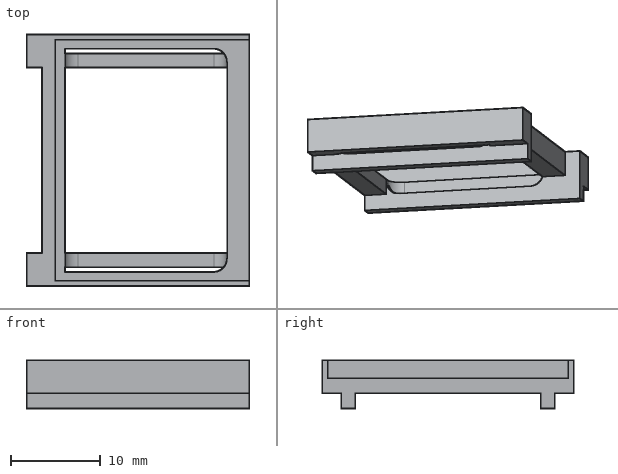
import cadquery as cq
import math

length = 24.8
width = 28.0
height = 5.4

frame_bottom = 1.7
crossbar_bottom = 2.7
floor_top = 3.4

crossbar_start = 1.7
recess_start = 3.2
window_start = 4.3
window_end = 22.3

rail_thickness = 0.6
window_margin = 1.6
runner_outer = 2.1
runner_inner = 3.7

corner_radius = 1.5
runner_blend_radius = 1.5

blend_drop = frame_bottom + runner_blend_radius - crossbar_bottom
blend_overrun = runner_blend_radius - math.sqrt(runner_blend_radius**2 - blend_drop**2)

half_width = width / 2
inner_span = width - 2 * runner_inner


def block(x_start, x_end, y_start, y_end, z_start, z_end):
    """Axis-aligned block between two opposite corners."""
    return cq.Workplane("XY").box(
        x_end - x_start, y_end - y_start, z_end - z_start, centered=False
    ).translate((x_start, y_start, z_start))


def centred_block(x_start, x_end, span, z_start, z_end):
    """Block symmetric about the lengthwise centre plane."""
    return block(x_start, x_end, -span / 2, span / 2, z_start, z_end)


def make_frame():
    """Open frame with side rails, a recessed floor and a raised crossbar."""
    frame = centred_block(0, length, width, frame_bottom, height)
    recess_span = width - 2 * rail_thickness
    recess = centred_block(recess_start, length, recess_span, floor_top, height)
    window = centred_block(
        window_start, window_end, width - 2 * window_margin, frame_bottom, height
    ).edges("|Z and >X").fillet(corner_radius)
    end_notch = centred_block(0, crossbar_start, inner_span, frame_bottom, height)
    crossbar_relief = centred_block(
        0, window_start, inner_span, frame_bottom, crossbar_bottom
    )
    return frame.cut(recess).cut(window).cut(end_notch).cut(crossbar_relief)


def make_runner():
    """Runner under the -Y side, blended up into both ends of the window."""
    y_start = runner_outer - half_width
    y_end = runner_inner - half_width
    base = block(0, length, y_start, y_end, 0, frame_bottom)
    window_fill = block(window_start, window_end, y_start, y_end, frame_bottom, floor_top)
    rounded_gap = block(
        window_start - blend_overrun, window_end, y_start, y_end, frame_bottom, height
    ).edges("|Y and <Z").fillet(runner_blend_radius)
    return base.union(window_fill.cut(rounded_gap))


runner = make_runner()
result = make_frame().union(runner).union(runner.mirror("XZ"))